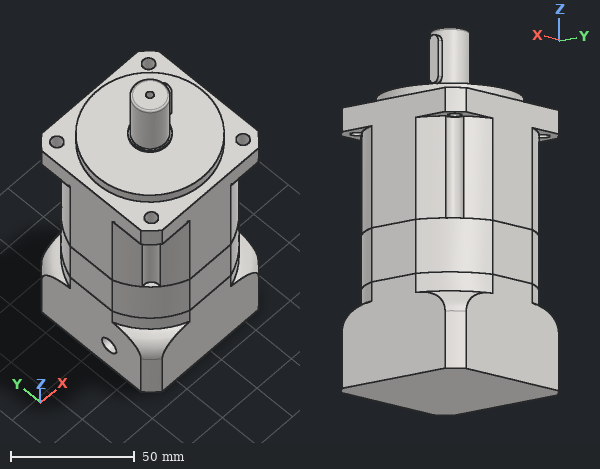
import cadquery as cq

overall_height = 149.0
adapter_top = 41.5
ring_top = 63.9
flange_bottom = 106.1
flange_top = 116.0
pilot_top = 121.0
collar_top = 121.9

square_width = 68.0
outer_corner_radius = 44.0
barrel_corner_diameter = 72.0
barrel_corner_radius = barrel_corner_diameter / 2

shoulder_top = 34.0
shoulder_round = 10.1

access_radius = 4.0
access_y = -10.0
access_height = 15.0
access_floor_radius = 17.0

mounting_circle_radius = 37.5
mounting_offset = mounting_circle_radius / 2**0.5
mounting_hole_radius = 2.8
groove_radius = 4.0

pilot_radius = 30.0
collar_radius = 9.0
shaft_radius = 8.0
shaft_edge = 0.9
center_hole_radius = 1.6
center_hole_depth = 9.0
drill_tip_height = 0.9

key_width = 5.0
key_length = 20.0
key_outer_x = 10.0
key_inner_x = 5.0
key_middle_height = 136.0


def turned_square(bottom, top, corner_radius):
    """Square bar between two heights, with its corners turned to a radius."""
    height = top - bottom
    bar = cq.Workplane().workplane(offset=bottom).rect(square_width, square_width).extrude(height)
    return bar.intersect(disc(bottom, top, corner_radius))


def disc(bottom, top, radius):
    """Cylinder on the Z axis between two heights."""
    return cq.Workplane().workplane(offset=bottom).circle(radius).extrude(top - bottom)


def corner_cylinders(bottom, top, radius):
    """Four cylinders at the mounting positions in the corners."""
    spacing = 2 * mounting_offset
    plane = cq.Workplane().workplane(offset=bottom)
    return plane.rect(spacing, spacing, forConstruction=True).vertices().circle(radius).extrude(top - bottom)


def make_motor_adapter():
    """Square motor-side block with rounded shoulders and a short barrel."""
    square = cq.Workplane().rect(square_width, square_width).extrude(shoulder_top)
    shoulder = disc(0, shoulder_top, outer_corner_radius).faces(">Z").edges().fillet(shoulder_round)
    barrel = turned_square(0, adapter_top, barrel_corner_radius)
    adapter = square.intersect(shoulder).union(barrel)
    access_hole = (
        cq.Workplane("YZ", origin=(-square_width / 2, access_y, access_height))
        .circle(access_radius)
        .extrude(square_width / 2)
    )
    access_hole = access_hole.cut(disc(0, shoulder_top, access_floor_radius))
    return adapter.cut(access_hole)


def make_ring_gear_housing():
    """Plain middle section of the barrel."""
    return turned_square(adapter_top, ring_top, barrel_corner_radius)


def make_shaft():
    """Output shaft with a rounded top edge and a drilled center hole."""
    shaft = disc(pilot_top, overall_height, shaft_radius).faces(">Z").edges().fillet(shaft_edge)
    hole_bottom = overall_height - center_hole_depth
    center_hole = (
        cq.Workplane("XZ")
        .moveTo(0, overall_height)
        .lineTo(center_hole_radius, overall_height)
        .lineTo(center_hole_radius, hole_bottom)
        .lineTo(0, hole_bottom - drill_tip_height)
        .close()
        .revolve(360, (0, 0), (0, 1))
    )
    return shaft.cut(center_hole)


def make_key():
    """Round-ended key standing out of the shaft on the +X side."""
    return (
        cq.Workplane("YZ", origin=(key_inner_x, 0, key_middle_height))
        .slot2D(key_length, key_width, 90)
        .extrude(key_outer_x - key_inner_x)
    )


def make_output_housing():
    """Flanged front housing in one piece with the pilot, collar, shaft and key."""
    barrel = turned_square(ring_top, flange_bottom, barrel_corner_radius)
    barrel = barrel.cut(corner_cylinders(ring_top, flange_bottom, groove_radius))
    flange = turned_square(flange_bottom, flange_top, outer_corner_radius)
    flange = flange.cut(corner_cylinders(flange_bottom, flange_top, mounting_hole_radius))
    pilot = disc(flange_top, pilot_top, pilot_radius)
    collar = disc(pilot_top, collar_top, collar_radius)
    return barrel.union(flange).union(pilot).union(collar).union(make_shaft()).union(make_key())


motor_adapter = make_motor_adapter()
ring_gear_housing = make_ring_gear_housing()
output_housing = make_output_housing()

result = cq.Compound.makeCompound([motor_adapter.val(), ring_gear_housing.val(), output_housing.val()])